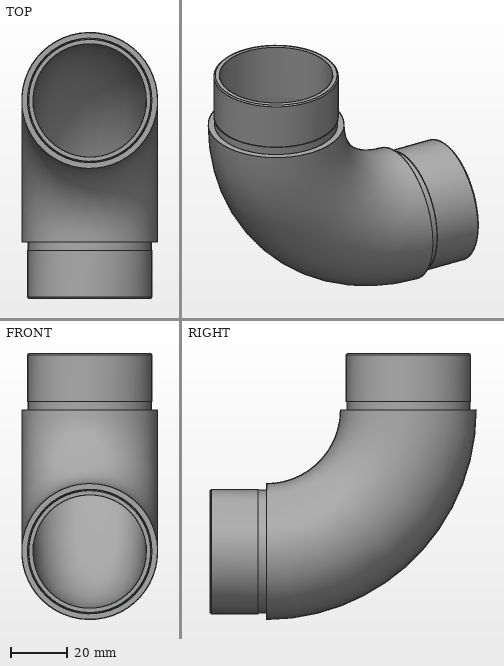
import cadquery as cq

overall_size = 94.5
bend_diameter = 48.3
spigot_diameter = 44.2
neck_diameter = 43.8
bore_diameter = 40.3
end_length = 20.0
neck_length = 3.0
end_chamfer = 0.5
bend_angle = 90

bend_radius = overall_size - end_length - bend_diameter / 2



def bend_sweep(diameter):
    """Solid quarter bend from the upward end to the -Y end."""
    return (
        cq.Workplane("XY", origin=(0, 0, bend_radius))
        .circle(diameter / 2)
        .revolve(bend_angle, (0, -bend_radius, 0), (-1, -bend_radius, 0))
    )


def upward_cylinder(diameter, length, start):
    """Cylinder on the Z axis that begins at height start."""
    return cq.Workplane("XY", origin=(0, 0, start)).circle(diameter / 2).extrude(length)


def at_both_ends(upward_end):
    """The upward end together with its copy turned to point along -Y."""
    return upward_end.union(upward_end.rotate((0, 0, 0), (1, 0, 0), bend_angle))


def straight_end():
    """Relieved neck followed by a chamfered spigot."""
    neck = upward_cylinder(neck_diameter, neck_length, bend_radius)
    spigot = upward_cylinder(spigot_diameter, end_length - neck_length, bend_radius + neck_length)
    return neck.union(spigot.faces(">Z").edges().chamfer(end_chamfer))


outer = bend_sweep(bend_diameter).union(at_both_ends(straight_end()))

end_bore = upward_cylinder(bore_diameter, end_length, bend_radius)
result = outer.cut(bend_sweep(bore_diameter)).cut(at_both_ends(end_bore))